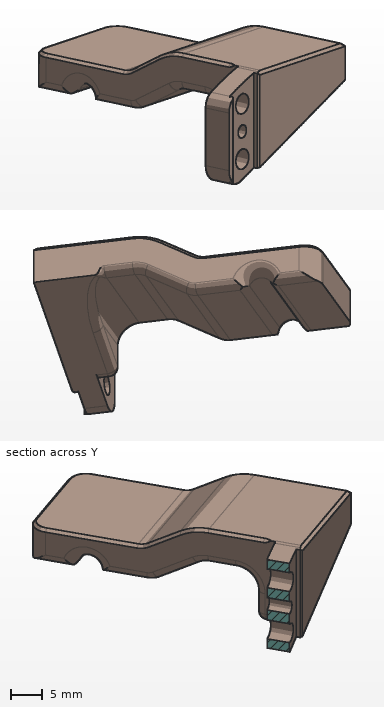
import cadquery as cq
import math

LENGTH = 46.5
WIDTH = 29.25
HEIGHT = 17.45

ARM_SIDE = 8.25
THICKNESS = 6.0
PAD_TOP = 12.6
PAD_BOTTOM = PAD_TOP - THICKNESS
PLATE_BOTTOM = HEIGHT - THICKNESS
CRANK_ANGLE = math.radians(30)
LOWER_BEND_START = 18.45
LOWER_BEND_RADIUS = 3.5
UPPER_BEND_RADIUS = 9.65
LEG_X = 38.5
LEG_BEND_RADIUS = 3.5
PAD_CORNER_RADIUS = 3.0
TOP_CHAMFER = 0.5
UNDERSIDE_FILLET = 1.5

NOTCH_X = 10.0
NOTCH_RADIUS = 2.0
NOTCH_MOUTH_RADIUS = 2.15
NOTCH_EDGE_RADIUS = 1.5

FLANGE_X = 41.75
BROW_START = 8.55
BROW_RADIUS = 2.0
BROW_ANGLE = math.radians(18.1)
CROWN_RADIUS = 50.0
TOP_CORNER_RADIUS = 2.5
BOTTOM_CORNER_RADIUS = 3.0
RUNOUT_X = 39.7
RUNOUT_RADIUS = 1.5

HOLE_Y = 4.5
HOLE_Z = 8.25
HOLE_SPACING = 4.5
HOLE_DIAMETER = 3.25
CENTRE_HOLE_DIAMETER = 2.1

RECESS_DEPTH = 0.95
RECESS_Y = (1.35, 7.45)
RECESS_CHAMFER = 0.3


def rounded_outline(outline, corners):
    """Closed outline through (u, v, radius) corners, each rounded by a tangent arc."""
    for i, (u, v, radius) in enumerate(corners):
        corner = cq.Vector(u, v)
        before = (cq.Vector(*corners[i - 1][:2]) - corner).normalized()
        after = (cq.Vector(*corners[(i + 1) % len(corners)][:2]) - corner).normalized()
        half_angle = before.getAngle(after) / 2
        setback = radius / math.tan(half_angle)
        start = corner + before * setback
        outline = outline.lineTo(start.x, start.y) if i else outline.moveTo(start.x, start.y)
        if radius:
            inward = (before + after).normalized()
            middle = corner + inward * (radius / math.sin(half_angle) - radius)
            end = corner + after * setback
            outline = outline.threePointArc((middle.x, middle.y), (end.x, end.y))
    return outline.close()


slope_run = WIDTH - BOTTOM_CORNER_RADIUS
slope_rise = PLATE_BOTTOM - BOTTOM_CORNER_RADIUS
SLOPE_ANGLE = math.atan2(slope_rise, slope_run) + math.asin(
    BOTTOM_CORNER_RADIUS / math.hypot(slope_run, slope_rise)
)


def arm_profile():
    """XZ outline of the arm; the leg runs down to Z = 0."""
    half_tangent = math.tan(CRANK_ANGLE / 2)
    low_x = LOWER_BEND_START + LOWER_BEND_RADIUS * half_tangent
    high_x = low_x + (HEIGHT - PAD_TOP) / math.tan(CRANK_ANGLE)
    under_shift = THICKNESS * half_tangent
    back_plane = cq.Workplane("XZ", origin=(0, WIDTH, 0))
    return rounded_outline(back_plane, [
        (0, PAD_BOTTOM, 0),
        (low_x + under_shift, PAD_BOTTOM, LOWER_BEND_RADIUS),
        (high_x + under_shift, PLATE_BOTTOM, UPPER_BEND_RADIUS - THICKNESS),
        (LEG_X, PLATE_BOTTOM, LEG_BEND_RADIUS),
        (LEG_X, 0, 0),
        (LENGTH, 0, 0),
        (LENGTH, HEIGHT, 0),
        (high_x, HEIGHT, UPPER_BEND_RADIUS),
        (low_x, PAD_TOP, LOWER_BEND_RADIUS),
        (0, PAD_TOP, 0),
    ])


def below_slope():
    """Everything under the sloping flange underside, from the leg bend onward."""
    low_z = PLATE_BOTTOM - WIDTH * math.tan(SLOPE_ANGLE)
    start_x = LEG_X - LEG_BEND_RADIUS
    return (
        cq.Workplane("YZ", origin=(start_x, 0, 0))
        .polyline([(0, low_z), (WIDTH, low_z), (WIDTH, PLATE_BOTTOM)])
        .close()
        .extrude(LENGTH - start_x)
    )


def edge_near(x, y, z):
    return cq.selectors.NearestToPointSelector((x, y, z))


def make_arm():
    arm = arm_profile().extrude(WIDTH - ARM_SIDE).cut(below_slope())

    pad_middle_x = LOWER_BEND_START / 2
    leg_bottom_z = PLATE_BOTTOM - (WIDTH - ARM_SIDE) * math.tan(SLOPE_ANGLE)
    leg_bend_z = PLATE_BOTTOM - LEG_BEND_RADIUS
    slope_y = (ARM_SIDE + WIDTH - LEG_BEND_RADIUS / math.tan(SLOPE_ANGLE)) / 2
    arm = (
        arm.edges(edge_near(pad_middle_x, ARM_SIDE, PAD_BOTTOM))
        .add(arm.edges(edge_near(pad_middle_x, WIDTH, PAD_BOTTOM)))
        .add(arm.edges(edge_near(LEG_X, slope_y, (leg_bottom_z + leg_bend_z) / 2)))
        .add(arm.edges(edge_near((LEG_X + LENGTH) / 2, ARM_SIDE, leg_bottom_z)))
        .fillet(UNDERSIDE_FILLET)
    )

    plan = (
        cq.Workplane("XY")
        .box(LENGTH, WIDTH - ARM_SIDE, HEIGHT, centered=False)
        .translate((0, ARM_SIDE, 0))
        .faces("<X").edges("|Z")
        .fillet(PAD_CORNER_RADIUS)
    )
    arm = arm.intersect(plan)
    return arm.edges(edge_near(0, (ARM_SIDE + WIDTH) / 2, PAD_TOP)).chamfer(TOP_CHAMFER)


def notch_cutter():
    """Half-round groove along Y with rolled-over long edges and flared mouths."""
    depth = WIDTH - ARM_SIDE
    roll_x = math.sqrt((NOTCH_RADIUS + NOTCH_EDGE_RADIUS) ** 2 - NOTCH_EDGE_RADIUS ** 2)
    roll_angle = math.acos(NOTCH_EDGE_RADIUS / (NOTCH_RADIUS + NOTCH_EDGE_RADIUS))

    def roll_point(angle):
        """Point on the right-hand rolled edge, turned by angle up from the pad underside."""
        x = roll_x - NOTCH_EDGE_RADIUS * math.sin(angle)
        return x, NOTCH_EDGE_RADIUS * (1 - math.cos(angle))

    middle_x, middle_z = roll_point(roll_angle / 2)
    end_x, end_z = roll_point(roll_angle)
    groove = (
        cq.Workplane("XZ", origin=(NOTCH_X, WIDTH, PAD_BOTTOM))
        .moveTo(roll_x, 0)
        .threePointArc((middle_x, middle_z), (end_x, end_z))
        .threePointArc((0, NOTCH_RADIUS), (-end_x, end_z))
        .threePointArc((-middle_x, middle_z), (-roll_x, 0))
        .close()
        .extrude(depth)
    )

    mouth = NOTCH_MOUTH_RADIUS
    flare_reach = mouth * (1 - math.sqrt(0.5))
    wide = NOTCH_RADIUS + mouth
    flared = (
        cq.Workplane("XY", origin=(NOTCH_X, ARM_SIDE, PAD_BOTTOM))
        .lineTo(wide, 0)
        .threePointArc((NOTCH_RADIUS + flare_reach, flare_reach), (NOTCH_RADIUS, mouth))
        .lineTo(NOTCH_RADIUS, depth - mouth)
        .threePointArc((NOTCH_RADIUS + flare_reach, depth - flare_reach), (wide, depth))
        .lineTo(0, depth)
        .close()
        .revolve(360, (0, 0), (0, 1))
    )
    return groove.union(flared)


def flange_outline(x):
    """YZ outline of the flange: sloping underside, rounded nose, crowned top."""
    brow_end_y = BROW_START - BROW_RADIUS * math.sin(BROW_ANGLE)
    brow_centre = (BROW_START, HEIGHT - BROW_RADIUS)
    crown_centre = (
        brow_end_y + CROWN_RADIUS * math.sin(BROW_ANGLE),
        brow_centre[1] - (CROWN_RADIUS - BROW_RADIUS) * math.cos(BROW_ANGLE),
    )
    crown_angle = math.asin(
        (crown_centre[0] - TOP_CORNER_RADIUS) / (CROWN_RADIUS - TOP_CORNER_RADIUS)
    )
    corner_centre = (
        TOP_CORNER_RADIUS,
        crown_centre[1] + (CROWN_RADIUS - TOP_CORNER_RADIUS) * math.cos(crown_angle),
    )
    bottom_centre = (BOTTOM_CORNER_RADIUS, BOTTOM_CORNER_RADIUS)

    def on_arc(centre, radius, tilt):
        """Arc point whose outward direction leans from +Z toward -Y by tilt."""
        return centre[0] - radius * math.sin(tilt), centre[1] + radius * math.cos(tilt)

    def add_arc(outline, centre, radius, start, end):
        middle = on_arc(centre, radius, (start + end) / 2)
        return outline.threePointArc(middle, on_arc(centre, radius, end))

    nose = math.pi / 2
    outline = cq.Workplane("YZ", origin=(x, 0, 0))
    outline = outline.moveTo(WIDTH - TOP_CHAMFER, HEIGHT).lineTo(BROW_START, HEIGHT)
    outline = add_arc(outline, brow_centre, BROW_RADIUS, 0, BROW_ANGLE)
    outline = add_arc(outline, crown_centre, CROWN_RADIUS, BROW_ANGLE, crown_angle)
    outline = add_arc(outline, corner_centre, TOP_CORNER_RADIUS, crown_angle, nose)
    outline = outline.lineTo(0, BOTTOM_CORNER_RADIUS)
    outline = add_arc(outline, bottom_centre, BOTTOM_CORNER_RADIUS, nose, math.pi + SLOPE_ANGLE)
    return outline.lineTo(WIDTH, PLATE_BOTTOM).lineTo(WIDTH, HEIGHT - TOP_CHAMFER).close()


def make_flange():
    flange = flange_outline(FLANGE_X).extrude(LENGTH - FLANGE_X)
    shoulder_limit = cq.Workplane("XY").box(
        FLANGE_X - RUNOUT_X, WIDTH - ARM_SIDE, THICKNESS, centered=False
    ).translate((RUNOUT_X, ARM_SIDE, PLATE_BOTTOM))
    shoulder = flange_outline(RUNOUT_X).extrude(FLANGE_X - RUNOUT_X).intersect(shoulder_limit)
    return flange.union(shoulder)


def runout_cutter():
    """Cone that swings the front top chamfer away from the arm in an arc."""
    return (
        cq.Workplane("XY", origin=(RUNOUT_X, ARM_SIDE - RUNOUT_RADIUS, HEIGHT - TOP_CHAMFER))
        .circle(RUNOUT_RADIUS)
        .workplane(offset=TOP_CHAMFER)
        .circle(RUNOUT_RADIUS + TOP_CHAMFER)
        .loft()
    )


def end_chamfer_cutter():
    """Wedge that bevels the top edge of the end face."""
    return (
        cq.Workplane("XZ", origin=(LENGTH, WIDTH, HEIGHT))
        .polyline([(0, 0), (-TOP_CHAMFER, 0), (0, -TOP_CHAMFER)])
        .close()
        .extrude(WIDTH)
    )


def recess_cutter():
    """Upright channel in the end face with bevelled rims."""
    near_y, far_y = RECESS_Y
    rim_x = LENGTH - RECESS_CHAMFER
    return (
        cq.Workplane("XY")
        .polyline([
            (LENGTH - RECESS_DEPTH, near_y),
            (rim_x, near_y),
            (LENGTH, near_y - RECESS_CHAMFER),
            (LENGTH, far_y + RECESS_CHAMFER),
            (rim_x, far_y),
            (LENGTH - RECESS_DEPTH, far_y),
        ])
        .close()
        .extrude(HEIGHT)
    )


def hole_cutter():
    """Two large holes with a small one midway between them, through the flange."""
    return (
        cq.Workplane("YZ", origin=(FLANGE_X, HOLE_Y, HOLE_Z))
        .circle(CENTRE_HOLE_DIAMETER / 2)
        .pushPoints([(0, HOLE_SPACING), (0, -HOLE_SPACING)])
        .circle(HOLE_DIAMETER / 2)
        .extrude(LENGTH - FLANGE_X)
    )


result = make_arm().cut(notch_cutter()).union(make_flange())
for cutter in (runout_cutter(), end_chamfer_cutter(), recess_cutter(), hole_cutter()):
    result = result.cut(cutter)